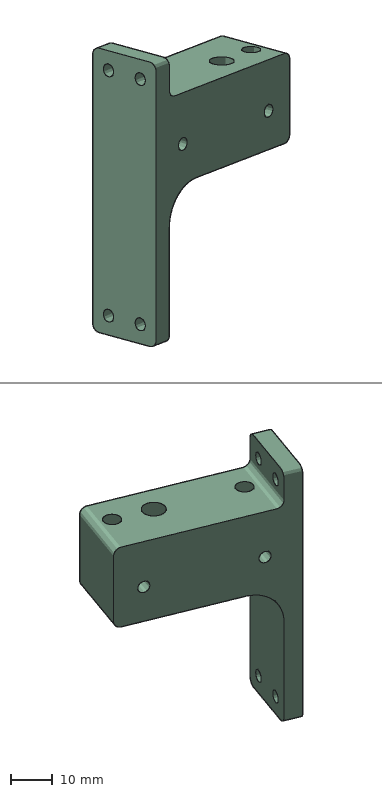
import cadquery as cq

width = 20.0
plate_height = 72.5
plate_thickness = 5.0
corner_radius = 2.0

depth = 50
arm_height = 23.0
arm_drop = 10.0
arm_top = plate_height - arm_drop
arm_bottom = arm_top - arm_height
upper_fillet = 1.95
lower_fillet = 10.0

plate_hole_diameter = 3.2
plate_hole_inset = 5.0

arm_hole_x = 2.0
bolt_hole_diameter = 4.6
centre_hole_diameter = 6.0
bolt_hole_rear_inset = 5.0
centre_hole_rear_inset = 16.0
front_hole_y = 10.0
rear_hole_y = depth - bolt_hole_rear_inset
centre_hole_y = depth - centre_hole_rear_inset

cross_hole_diameter = 3.2
cross_hole_drop = 13.05
cross_hole_rear_inset = 8
cross_hole_z = arm_top - cross_hole_drop
rear_cross_hole_y = depth - cross_hole_rear_inset


def make_plate():
    """Upright slab with four rounded corners."""
    plate = cq.Workplane("XY").box(
        width, plate_thickness, plate_height, centered=(True, False, False)
    )
    return plate.edges("|Y").fillet(corner_radius)


def make_arm():
    """Block with its two rear corners rounded."""
    arm = cq.Workplane("XY").box(width, depth, arm_height, centered=(True, False, False))
    arm = arm.translate((0, 0, arm_bottom))
    return arm.faces(">Y").edges("|X").fillet(corner_radius)


def make_inside_fillet(corner_z, radius, direction):
    """Concave fillet between the plate's back and the arm; direction is +1 above the arm, -1 below."""
    centre = (plate_thickness + radius, corner_z + direction * radius)
    block = (
        cq.Workplane("YZ")
        .center(plate_thickness + radius / 2, corner_z + direction * radius / 2)
        .rect(radius, radius)
        .extrude(width / 2, both=True)
    )
    round_cut = cq.Workplane("YZ").center(*centre).circle(radius).extrude(width, both=True)
    return block.cut(round_cut)


def make_plate_holes():
    """Four screw holes through the plate."""
    spacing_x = width - 2 * plate_hole_inset
    spacing_z = plate_height - 2 * plate_hole_inset
    return (
        cq.Workplane("XZ")
        .center(0, plate_height / 2)
        .rarray(spacing_x, spacing_z, 2, 2)
        .circle(plate_hole_diameter / 2)
        .extrude(-plate_thickness)
    )


def make_vertical_hole(y, diameter):
    """Hole through the arm, long enough to clear the fillets above and below it."""
    return (
        cq.Workplane("XY", origin=(arm_hole_x, y, arm_bottom - lower_fillet))
        .circle(diameter / 2)
        .extrude(arm_height + lower_fillet + upper_fillet)
    )


def make_cross_holes():
    """Two holes through the full width of the arm."""
    return (
        cq.Workplane("YZ")
        .pushPoints([(front_hole_y, cross_hole_z), (rear_cross_hole_y, cross_hole_z)])
        .circle(cross_hole_diameter / 2)
        .extrude(width / 2, both=True)
    )


result = (
    make_plate()
    .union(make_arm())
    .union(make_inside_fillet(arm_top, upper_fillet, 1))
    .union(make_inside_fillet(arm_bottom, lower_fillet, -1))
    .cut(make_plate_holes())
    .cut(make_vertical_hole(rear_hole_y, bolt_hole_diameter))
    .cut(make_vertical_hole(centre_hole_y, centre_hole_diameter))
    .cut(make_vertical_hole(front_hole_y, bolt_hole_diameter))
    .cut(make_cross_holes())
)